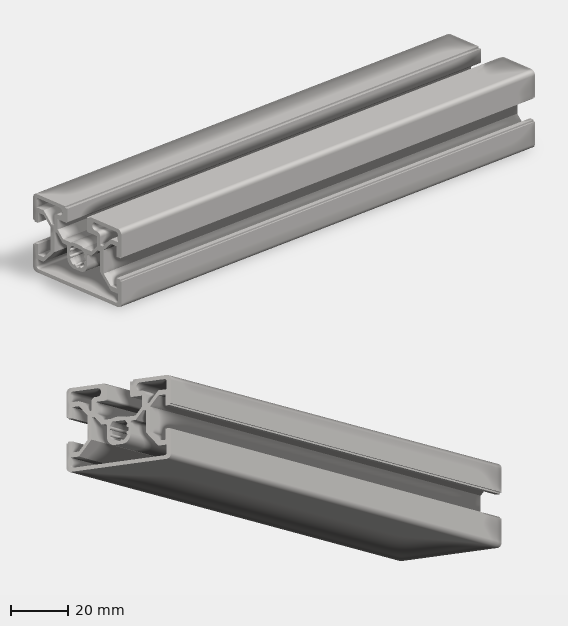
import cadquery as cq
import math

LENGTH = 200.0
WIDTH = 45.0
HEIGHT = 30.0
HALF_WIDTH = WIDTH / 2
HALF_HEIGHT = HEIGHT / 2
CORNER_RADIUS = 1.8

TOP_WALL = 1.5
BOTTOM_WALL = 1.5
SIDE_WALL = 1.8
DIAGONAL_WALL = 1.25
SLOT_WALL = 1.8

EDGE_OVERLAP = 2.0

SIDE_OPENING = 8.2
SIDE_LIP = 2.5
SIDE_CAVITY = 16.2
SIDE_DEPTH = 9.0
SIDE_FLOOR = 9.0

TOP_OPENING = 10.0
TOP_LIP = 6.2
TOP_CAVITY = 20.0
TOP_DEPTH = 13.0
TOP_FLOOR = 14.5
TOP_LIP_INNER_RADIUS = 0.5

TOP_STEP_WIDTH = 1.2
SIDE_STEP_WIDTH = 0.5
LIP_STEP_DEPTH = 0.5

RIDGE_WIDTH = 6.5
RIDGE_HEIGHT = 0.5

CHAMBER_RADIUS = 1.0
LIP_POCKET_HEIGHT = 3.0
LIP_POCKET_TIP = 7.5
POCKET_BOTTOM = 5.8
POCKET_BOTTOM_RADIUS = 0.5
POCKET_HEEL_RADIUS = 1.5
CENTRE_SHOULDER = 3.5
CENTRE_CEILING = 0.5

CHANNEL_CENTRE = -2.5
CHANNEL_WIDTH = 10.2
CHANNEL_RADIUS = 3.5
BORE_RADIUS = 4.2
CHANNEL_ROOT_RADIUS = 0.8
BORE_TOP = 0.9
RIB_RADIUS = 0.5
RIB_ANGLE = 18.0

SLOT_WALL_X = TOP_CAVITY / 2
SIDE_FLOOR_X = HALF_WIDTH - SIDE_DEPTH
CORE_X = SIDE_FLOOR_X - SLOT_WALL
SIDE_CAVITY_Z = SIDE_CAVITY / 2
SIDE_SHOULDER_X = SIDE_FLOOR_X + (SIDE_CAVITY - SIDE_FLOOR) / 2
WEB_Z = SIDE_CAVITY_Z + SLOT_WALL
WEB_OFFSET = SIDE_FLOOR_X - SIDE_FLOOR / 2 - DIAGONAL_WALL * math.sqrt(2)
POCKET_TOP = HALF_HEIGHT - TOP_WALL
CHAMBER_X = HALF_WIDTH - SIDE_WALL
SLOT_FLOOR_Z = HALF_HEIGHT - TOP_DEPTH


def extrude(sketch):
    """Extrude an XZ outline over the whole length, centred on Y."""
    return sketch.extrude(LENGTH / 2, both=True)


def prism(points):
    return extrude(cq.Workplane("XZ").polyline(points).close())


def round_edges(body, radius, places):
    """Round the lengthwise edges that pass through the given (x, z) places."""
    for x, z in places:
        body = body.edges(cq.selectors.NearestToPointSelector((x, 0, z))).fillet(radius)
    return body


def mirrored(body):
    """Join a body with its reflection across the middle plane."""
    return body.union(body.mirror("YZ"))


def outer_bar():
    bar = cq.Workplane("XY").box(WIDTH, LENGTH, HEIGHT)
    return bar.edges("|Y").fillet(CORNER_RADIUS)


def side_slot():
    upper = [
        (HALF_WIDTH + EDGE_OVERLAP, SIDE_OPENING / 2),
        (HALF_WIDTH - SIDE_LIP, SIDE_OPENING / 2),
        (HALF_WIDTH - SIDE_LIP, SIDE_CAVITY_Z),
        (SIDE_SHOULDER_X, SIDE_CAVITY_Z),
        (SIDE_FLOOR_X, SIDE_FLOOR / 2),
    ]
    lower = [(x, -z) for x, z in reversed(upper)]
    return prism(upper + lower)


def top_slot():
    right = [
        (TOP_OPENING / 2, HALF_HEIGHT + EDGE_OVERLAP),
        (TOP_OPENING / 2, HALF_HEIGHT - TOP_LIP),
        (SLOT_WALL_X, HALF_HEIGHT - TOP_LIP),
        (SLOT_WALL_X, SLOT_FLOOR_Z + (TOP_CAVITY - TOP_FLOOR) / 2),
        (TOP_FLOOR / 2, SLOT_FLOOR_Z),
    ]
    left = [(-x, z) for x, z in reversed(right)]
    return prism(right + left).cut(floor_ridge())


def top_lip_step():
    """Shallow step along the right lip of the top slot."""
    step = cq.Workplane("XY").box(2 * TOP_STEP_WIDTH, LENGTH, 2 * LIP_STEP_DEPTH)
    return step.translate((TOP_OPENING / 2, 0, HALF_HEIGHT))


def side_lip_steps():
    """Matching shallow steps along both lips of the right side slot."""
    height = SIDE_OPENING + 2 * SIDE_STEP_WIDTH
    step = cq.Workplane("XY").box(2 * LIP_STEP_DEPTH, LENGTH, height)
    return step.translate((HALF_WIDTH, 0, 0))


def floor_ridge():
    """Low arched ridge left standing on the top slot floor."""
    ridge_end = RIDGE_WIDTH / 2
    return extrude(
        cq.Workplane("XZ")
        .moveTo(-ridge_end, SLOT_FLOOR_Z)
        .threePointArc((0, SLOT_FLOOR_Z + RIDGE_HEIGHT), (ridge_end, SLOT_FLOOR_Z))
        .close()
    )


def upper_pocket():
    """Hollow between the top wall, the top slot and one side slot."""
    end_radius = LIP_POCKET_HEIGHT / 2
    end_x = LIP_POCKET_TIP + end_radius
    pocket_floor = POCKET_TOP - LIP_POCKET_HEIGHT
    pocket = extrude(
        cq.Workplane("XZ")
        .moveTo(end_x, POCKET_TOP)
        .threePointArc((LIP_POCKET_TIP, POCKET_TOP - end_radius), (end_x, pocket_floor))
        .lineTo(CORE_X, pocket_floor)
        .lineTo(CORE_X, POCKET_BOTTOM)
        .lineTo(WEB_OFFSET + POCKET_BOTTOM, POCKET_BOTTOM)
        .lineTo(WEB_OFFSET + WEB_Z, WEB_Z)
        .lineTo(CHAMBER_X, WEB_Z)
        .lineTo(CHAMBER_X, POCKET_TOP)
        .close()
    )
    pocket = round_edges(pocket, CHAMBER_RADIUS, [(CHAMBER_X, POCKET_TOP)])
    pocket = round_edges(pocket, POCKET_HEEL_RADIUS, [(CORE_X, pocket_floor)])
    return round_edges(pocket, POCKET_BOTTOM_RADIUS, [(CORE_X, POCKET_BOTTOM)])


def central_chamber():
    chamber_floor = BOTTOM_WALL - HALF_HEIGHT
    shoulder_x = TOP_FLOOR / 2 - SLOT_FLOOR_Z + DIAGONAL_WALL * math.sqrt(2) + CENTRE_SHOULDER
    ceiling_x = shoulder_x - (CENTRE_SHOULDER - CENTRE_CEILING)
    right = [
        (CHAMBER_X, chamber_floor),
        (CHAMBER_X, -WEB_Z),
        (WEB_OFFSET + WEB_Z, -WEB_Z),
        (CORE_X, WEB_OFFSET - CORE_X),
        (CORE_X, CENTRE_SHOULDER),
        (shoulder_x, CENTRE_SHOULDER),
        (ceiling_x, CENTRE_CEILING),
    ]
    left = [(-x, z) for x, z in reversed(right)]
    chamber = prism(right + left)
    return round_edges(
        chamber, CHAMBER_RADIUS, [(CHAMBER_X, chamber_floor), (-CHAMBER_X, chamber_floor)]
    )


def material_below(z):
    """Block that keeps only what lies below the given height."""
    return cq.Workplane("XY").box(WIDTH, LENGTH, HEIGHT).translate((0, 0, z - HALF_HEIGHT))


def screw_channel():
    tube = cq.Workplane("XY").box(CHANNEL_WIDTH, LENGTH, CHANNEL_WIDTH)
    tube = tube.edges("|Y and <Z").fillet(CHANNEL_RADIUS)
    return tube.translate((0, 0, CHANNEL_CENTRE)).intersect(material_below(SLOT_FLOOR_Z))


def screw_bore():
    """Round hole with small ribs beside each axis and a flat ceiling."""
    bore = extrude(cq.Workplane("XZ").circle(BORE_RADIUS))
    for direction in (0, -90, 180):
        for offset in (-RIB_ANGLE, RIB_ANGLE):
            angle = math.radians(direction + offset)
            rib = cq.Workplane("XZ").center(BORE_RADIUS * math.cos(angle), BORE_RADIUS * math.sin(angle))
            bore = bore.cut(extrude(rib.circle(RIB_RADIUS)))
    return bore.translate((0, 0, CHANNEL_CENTRE)).intersect(material_below(BORE_TOP))


SIDES = (-1, 1)
profile = outer_bar()
profile = profile.cut(mirrored(side_slot())).cut(top_slot())
for side in SIDES:
    lip_underside = (side * TOP_OPENING / 2, HALF_HEIGHT - TOP_LIP)
    profile = round_edges(profile, TOP_LIP_INNER_RADIUS, [lip_underside])
profile = profile.cut(mirrored(top_lip_step())).cut(mirrored(side_lip_steps()))

profile = profile.cut(mirrored(upper_pocket())).cut(central_chamber())
profile = profile.union(screw_channel())
channel_roots = [(side * CHANNEL_WIDTH / 2, CENTRE_CEILING) for side in SIDES]
profile = round_edges(profile, CHANNEL_ROOT_RADIUS, channel_roots)
result = profile.cut(screw_bore())